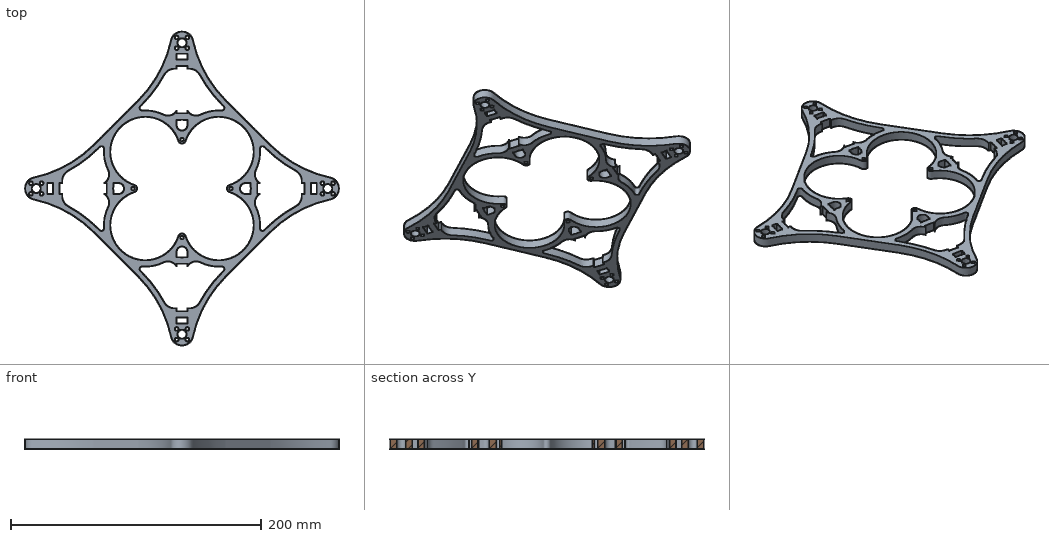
import cadquery as cq
import math

SPAN = 251.0
THICKNESS = 8.0
ARM_ANGLES = (0, 90, 180, 270)

LUG_RADIUS = 9.0
LUG_Y = SPAN / 2 - LUG_RADIUS
MOTOR_HOLE_RADIUS = 3.5
SCREW_OFFSET = 4.3
SCREW_RADIUS = 1.38

SIDE_MIDPOINT = 52.7
SIDE_HALF_RUN = 17.8
LEG_WIDTH = 4.5

OPENING_OFFSET = 29.4
OPENING_RADIUS = 27.9
RING_WIDTH = 5.3
TIP_RADIUS = 3.0
TIP_HOLE_Y = 39.2
TIP_HOLE_RADIUS = 1.38

POCKET_TOP = 95.6
POCKET_TOP_FILLET = 9.5
POCKET_CORNER_FILLET = 2.0
CUSP_RADIUS = 8.3
CUSP_X = 11.3

SLOT_WIDTH = 8.5
NOTCH_BOTTOM = 60.2
NOTCH_TOP = 98.0
SLOT_BOTTOM = 103.2
SLOT_TOP = 107.7
ROUND_SLOT_CENTER_Y = 50.7
ROUND_SLOT_TOP = 54.7

DIAGONAL = math.sqrt(0.5)

BLEND_START_X = SIDE_MIDPOINT - SIDE_HALF_RUN
BLEND_START_Y = SIDE_MIDPOINT + SIDE_HALF_RUN
LUG_TO_START_Y = BLEND_START_Y - LUG_Y
BLEND_RADIUS = (BLEND_START_X**2 + LUG_TO_START_Y**2 - LUG_RADIUS**2) / (
    2 * (LUG_RADIUS - DIAGONAL * (BLEND_START_X + LUG_TO_START_Y))
)
BLEND_X = BLEND_START_X + BLEND_RADIUS * DIAGONAL
BLEND_Y = BLEND_START_Y + BLEND_RADIUS * DIAGONAL


def toward(start, target, distance):
    """Point at a distance from start, in the direction of target."""
    length = math.dist(start, target)
    return tuple(s + (t - s) * distance / length for s, t in zip(start, target))


def arc_middle(center, radius, first, second):
    """Middle point of the shorter arc between two points on a circle."""
    halfway = ((first[0] + second[0]) / 2, (first[1] + second[1]) / 2)
    return toward(center, halfway, radius)


def mirrored(point):
    return (-point[0], point[1])


def rotated(point, degrees):
    angle = math.radians(degrees)
    x, y = point
    return (x * math.cos(angle) - y * math.sin(angle), x * math.sin(angle) + y * math.cos(angle))


def slot_box(bottom, top):
    """Through-cutter of the slot width, centred on the arm."""
    return cq.Workplane("XY").center(0, (bottom + top) / 2).rect(SLOT_WIDTH, top - bottom).extrude(THICKNESS)


def on_all_arms(cutter):
    """One copy of the cutter per arm, joined together."""
    copies = cq.Workplane("XY")
    for angle in ARM_ANGLES:
        copies = copies.add(cutter.rotate((0, 0, 0), (0, 0, 1), angle))
    return copies.combine()


def star_plate():
    blend_center = (BLEND_X, BLEND_Y)
    lug_right = toward((0, LUG_Y), blend_center, LUG_RADIUS)
    blend_start = (BLEND_START_X, BLEND_START_Y)
    blend_middle = arc_middle(blend_center, BLEND_RADIUS, blend_start, lug_right)

    outline = cq.Workplane("XY").moveTo(*blend_start)
    for angle in ARM_ANGLES:
        outline = outline.threePointArc(rotated(blend_middle, angle), rotated(lug_right, angle))
        outline = outline.threePointArc(rotated((0, SPAN / 2), angle), rotated(mirrored(lug_right), angle))
        outline = outline.threePointArc(
            rotated(mirrored(blend_middle), angle), rotated(mirrored(blend_start), angle)
        )
        if angle != ARM_ANGLES[-1]:
            outline = outline.lineTo(*rotated(blend_start, angle + 90))
    return outline.close().extrude(THICKNESS)


def center_opening():
    """Four round lobes, with a rounded tip of material between neighbours."""
    lobe_center = (OPENING_OFFSET, OPENING_OFFSET)
    tip_y = OPENING_OFFSET + math.sqrt((OPENING_RADIUS + TIP_RADIUS) ** 2 - OPENING_OFFSET**2)
    tip_right = toward((0, tip_y), lobe_center, TIP_RADIUS)
    lobe_far = tuple(c + OPENING_RADIUS * DIAGONAL for c in lobe_center)

    outline = cq.Workplane("XY").moveTo(*tip_right)
    for angle in ARM_ANGLES:
        outline = outline.threePointArc(
            rotated((0, tip_y - TIP_RADIUS), angle), rotated(mirrored(tip_right), angle)
        )
        outline = outline.threePointArc(rotated(lobe_far, angle + 90), rotated(tip_right, angle + 90))
    return outline.close().extrude(THICKNESS)


def arm_pocket():
    blend_center = (BLEND_X, BLEND_Y)
    leg_radius = BLEND_RADIUS + LEG_WIDTH
    leg_top = (BLEND_X - math.sqrt(leg_radius**2 - (BLEND_Y - POCKET_TOP) ** 2), POCKET_TOP)
    leg_start = (BLEND_START_X - LEG_WIDTH * DIAGONAL, BLEND_START_Y - LEG_WIDTH * DIAGONAL)
    leg_middle = arc_middle(blend_center, leg_radius, leg_start, leg_top)

    ring_center = (OPENING_OFFSET, OPENING_OFFSET)
    ring_radius = OPENING_RADIUS + RING_WIDTH
    leg_line_distance = (leg_start[0] + leg_start[1]) * DIAGONAL - 2 * OPENING_OFFSET * DIAGONAL
    half_chord = math.sqrt(ring_radius**2 - leg_line_distance**2)
    corner = (
        OPENING_OFFSET + (leg_line_distance - half_chord) * DIAGONAL,
        OPENING_OFFSET + (leg_line_distance + half_chord) * DIAGONAL,
    )

    rise = math.sqrt((ring_radius + CUSP_RADIUS) ** 2 - (OPENING_OFFSET - CUSP_X) ** 2)
    cusp_center = (CUSP_X, OPENING_OFFSET + rise)
    ring_end = toward(ring_center, cusp_center, ring_radius)
    ring_middle = arc_middle(ring_center, ring_radius, corner, ring_end)
    notch_side = SLOT_WIDTH / 2
    cusp = (notch_side, cusp_center[1] - math.sqrt(CUSP_RADIUS**2 - (CUSP_X - notch_side) ** 2))
    cusp_middle = arc_middle(cusp_center, CUSP_RADIUS, ring_end, cusp)

    pocket = (
        cq.Workplane("XY")
        .moveTo(*mirrored(leg_top))
        .lineTo(*leg_top)
        .threePointArc(leg_middle, leg_start)
        .lineTo(*corner)
        .threePointArc(ring_middle, ring_end)
        .threePointArc(cusp_middle, cusp)
        .lineTo(*mirrored(cusp))
        .threePointArc(mirrored(cusp_middle), mirrored(ring_end))
        .threePointArc(mirrored(ring_middle), mirrored(corner))
        .lineTo(*mirrored(leg_start))
        .threePointArc(mirrored(leg_middle), mirrored(leg_top))
        .close()
        .extrude(THICKNESS)
    )
    for point, radius in ((leg_top, POCKET_TOP_FILLET), (corner, POCKET_CORNER_FILLET)):
        for x, y in (point, mirrored(point)):
            nearest = cq.selectors.NearestToPointSelector((x, y, THICKNESS / 2))
            pocket = pocket.edges("|Z").edges(nearest).fillet(radius)
    return pocket.union(slot_box(NOTCH_BOTTOM, NOTCH_TOP))


def arm_slots():
    """Rectangular slot near the lug and round-ended slot near the inner tip."""
    round_end = cq.Workplane("XY").center(0, ROUND_SLOT_CENTER_Y).circle(SLOT_WIDTH / 2).extrude(THICKNESS)
    round_slot = round_end.union(slot_box(ROUND_SLOT_CENTER_Y, ROUND_SLOT_TOP))
    return round_slot.union(slot_box(SLOT_BOTTOM, SLOT_TOP))


def arm_holes():
    """Motor shaft hole, its four screw holes and the inner tip hole."""
    motor = cq.Workplane("XY").center(0, LUG_Y).circle(MOTOR_HOLE_RADIUS).extrude(THICKNESS)
    screws = (
        cq.Workplane("XY")
        .center(0, LUG_Y)
        .rect(2 * SCREW_OFFSET, 2 * SCREW_OFFSET, forConstruction=True)
        .vertices()
        .circle(SCREW_RADIUS)
        .extrude(THICKNESS)
    )
    tip = cq.Workplane("XY").center(0, TIP_HOLE_Y).circle(TIP_HOLE_RADIUS).extrude(THICKNESS)
    return motor.union(screws).union(tip)


result = star_plate().cut(center_opening())
for arm_cutter in (arm_pocket(), arm_slots(), arm_holes()):
    result = result.cut(on_all_arms(arm_cutter))